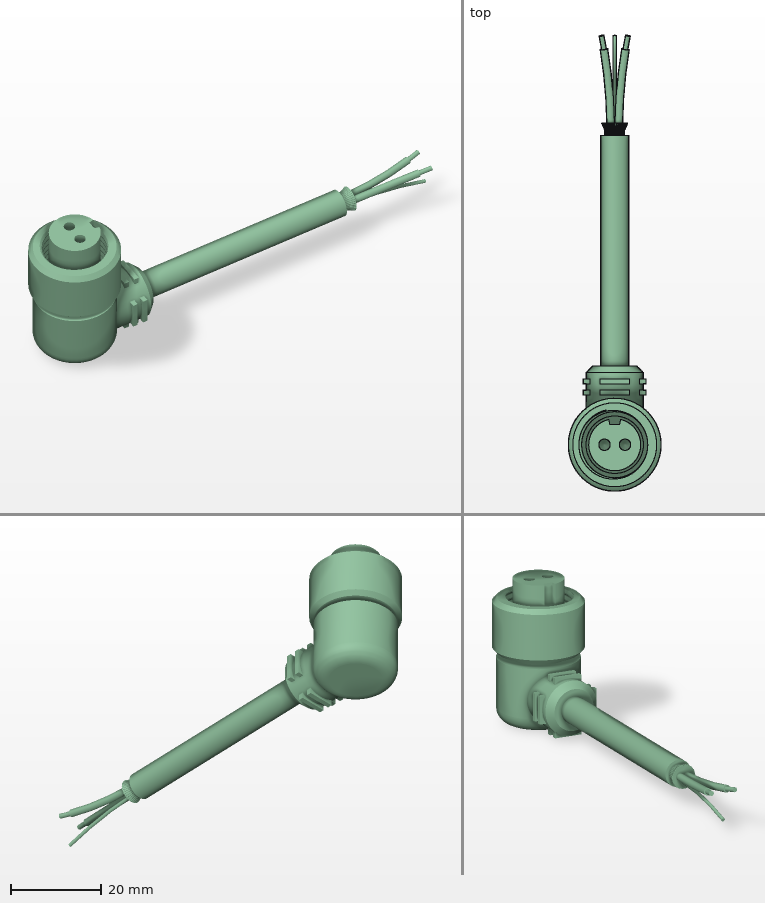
import cadquery as cq
import math


overall_length = 100.9

body_diameter = 18.8
body_height = 15.0
body_fillet = 3.3

insert_diameter = 11.5
insert_top = 33.3
neck_diameter = 12.7
neck_top = 20.2

nut_diameter = 20.6
nut_bottom = 16.4
nut_height = 12.6
nut_chamfer = 1.0
nut_floor = 2.0
thread_minor_diameter = 14.6
thread_major_diameter = 15.8
thread_pitch = 1.5
thread_turns = 6.5
thread_mouth_width = 1.4
thread_root_width = 0.2
thread_overlap = 0.1

hole_diameter = 2.5
hole_depth = 6.1
hole_spacing = 4.5
drill_half_angle = 59
key_inner_width = 2.1
key_outer_width = 2.7
key_inner_y = 4.4

outlet_diameter = 12.7
outlet_z = 7.6
outlet_end = 17.5
outlet_chamfer = 1.5
rib_length = 6.5
rib_width = 1.1
rib_radius = 7.0
rib_pitch = 2.5
first_rib_y = 11.5
rib_count = 2

cable_diameter = 6.3
cable_end = 68.4
braid_diameter = 4.2
braid_flare_diameter = 5.6
braid_straight = 1.2
braid_end = 71.2
strand_diameter = 0.2
strand_count = 36
wire_start = 69.6
tip_lean = 0.15
wire_end = overall_length - nut_diameter / 2 - tip_lean
insulation_diameter = 1.7
insulation_end = 87.5
core_diameter = 1.1
drain_diameter = 0.8
wire_offset_x = 0.9
wire_offset_z = 0.1
wire_spread_x = 2.0
wire_rise = 2.0
drain_offset_z = -1.3
drain_drop = 3.1


def disc(diameter, bottom, top):
    """Cylinder on the connector axis."""
    return cq.Workplane("XY").workplane(offset=bottom).circle(diameter / 2).extrude(top - bottom)


def along_cable(start_y, x=0, z=outlet_z):
    """Workplane whose extrusions run toward +Y, centred at the given x and z."""
    return cq.Workplane(cq.Plane(origin=(x, start_y, z), xDir=(1, 0, 0), normal=(0, 1, 0)))


def make_body():
    return disc(body_diameter, 0, body_height).faces("<Z").edges().fillet(body_fillet)


def make_outlet():
    outlet = along_cable(0).circle(outlet_diameter / 2).extrude(outlet_end)
    outlet = outlet.faces(">Y").edges().chamfer(outlet_chamfer)
    for index in range(rib_count):
        rib_y = first_rib_y + index * rib_pitch
        for length_x, length_z in ((rib_length, 2 * rib_radius), (2 * rib_radius, rib_length)):
            bar = cq.Workplane("XY").box(length_x, rib_width, length_z)
            outlet = outlet.union(bar.translate((0, rib_y, outlet_z)))
    return outlet


def make_insert():
    insert = disc(neck_diameter, body_height, neck_top).union(disc(insert_diameter, neck_top, insert_top))

    hole_radius = hole_diameter / 2
    cone_height = hole_radius / math.tan(math.radians(drill_half_angle))
    drill = (
        cq.Workplane("XZ")
        .moveTo(0, insert_top)
        .lineTo(hole_radius, insert_top)
        .lineTo(hole_radius, insert_top - hole_depth)
        .lineTo(0, insert_top - hole_depth - cone_height)
        .close()
        .revolve(360, (0, 0, 0), (0, 1, 0))
    )
    for side in (-1, 1):
        insert = insert.cut(drill.translate((side * hole_spacing / 2, 0, 0)))

    key_outer_y = insert_diameter / 2
    key = (
        cq.Workplane("XY")
        .workplane(offset=neck_top)
        .polyline([
            (-key_inner_width / 2, key_inner_y),
            (key_inner_width / 2, key_inner_y),
            (key_outer_width / 2, key_outer_y),
            (-key_outer_width / 2, key_outer_y),
        ])
        .close()
        .extrude(insert_top - neck_top)
    )
    return insert.cut(key)


def make_nut():
    nut_top = nut_bottom + nut_height
    bore_bottom = nut_bottom + nut_floor
    envelope = disc(nut_diameter, nut_bottom, nut_top).faces("<Z or >Z").edges().chamfer(nut_chamfer)

    blank_top = nut_top + 2 * thread_pitch
    blank = disc(nut_diameter, nut_bottom, blank_top).cut(disc(thread_minor_diameter, bore_bottom, blank_top))

    crest = thread_minor_diameter / 2
    root = thread_major_diameter / 2
    inner = crest - thread_overlap
    groove_start = nut_top - thread_turns * thread_pitch
    helix = cq.Wire.makeHelix(thread_pitch, (thread_turns + 1) * thread_pitch, crest)
    groove = (
        cq.Workplane("XZ")
        .polyline([
            (inner, -thread_mouth_width / 2),
            (root, -thread_root_width / 2),
            (root, thread_root_width / 2),
            (inner, thread_mouth_width / 2),
        ])
        .close()
        .sweep(cq.Workplane(obj=helix), isFrenet=True)
        .translate((0, 0, groove_start))
    )
    return blank.cut(groove).intersect(envelope)


def make_cable():
    cable = along_cable(0).circle(cable_diameter / 2).extrude(cable_end)
    flare_start = cable_end + braid_straight
    braid = (
        cq.Workplane("XY", origin=(0, 0, outlet_z))
        .moveTo(0, cable_end)
        .lineTo(braid_diameter / 2, cable_end)
        .lineTo(braid_diameter / 2, flare_start)
        .lineTo(braid_flare_diameter / 2, braid_end)
        .lineTo(0, braid_end)
        .close()
        .revolve(360, (0, 0, 0), (0, 1, 0))
    )

    flare_run = braid_end - flare_start
    flare_growth = (braid_flare_diameter - braid_diameter) / 2
    strands = cq.Workplane("XY")
    for index in range(strand_count):
        angle = 2 * math.pi * index / strand_count
        out_x = math.cos(angle)
        out_z = math.sin(angle)
        edge_x = out_x * braid_diameter / 2
        edge_z = outlet_z + out_z * braid_diameter / 2
        straight = cq.Solid.makeCylinder(
            strand_diameter / 2, braid_straight, cq.Vector(edge_x, cable_end, edge_z), cq.Vector(0, 1, 0)
        )
        flared = cq.Solid.makeCylinder(
            strand_diameter / 2,
            math.hypot(flare_run, flare_growth),
            cq.Vector(edge_x, flare_start, edge_z),
            cq.Vector(out_x * flare_growth, flare_run, out_z * flare_growth),
        )
        strands = strands.add(straight).add(flared)
    return cable.union(braid).union(strands)


def bent_wire(diameter, end_y, offset_x, offset_z, shift_x, shift_z):
    """Wire that leaves the braid along +Y and bends to the given shift at wire_end."""
    full_run = wire_end - wire_start
    full_shift = math.hypot(shift_x, shift_z)
    bend_radius = (full_run**2 + full_shift**2) / (2 * full_shift)

    def path_point(run):
        fraction = (bend_radius - math.sqrt(bend_radius**2 - run**2)) / full_shift
        return (
            offset_x + fraction * shift_x,
            wire_start + run,
            outlet_z + offset_z + fraction * shift_z,
        )

    run = end_y - wire_start
    path = cq.Workplane("XY").add(
        cq.Edge.makeThreePointArc(
            cq.Vector(*path_point(0)), cq.Vector(*path_point(run / 2)), cq.Vector(*path_point(run))
        )
    )
    start = along_cable(wire_start, offset_x, outlet_z + offset_z)
    return start.circle(diameter / 2).sweep(path)


def make_wires():
    drain = bent_wire(drain_diameter, wire_end, 0, drain_offset_z, 0, -drain_drop)
    wires = [drain]
    for side in (-1, 1):
        bend = (side * wire_offset_x, wire_offset_z, side * wire_spread_x, wire_rise)
        wires.append(bent_wire(insulation_diameter, insulation_end, *bend))
        wires.append(bent_wire(core_diameter, wire_end, *bend))
    return wires


result = make_body().union(make_outlet()).union(make_insert()).union(make_nut()).union(make_cable())
for wire in make_wires():
    result = result.union(wire)